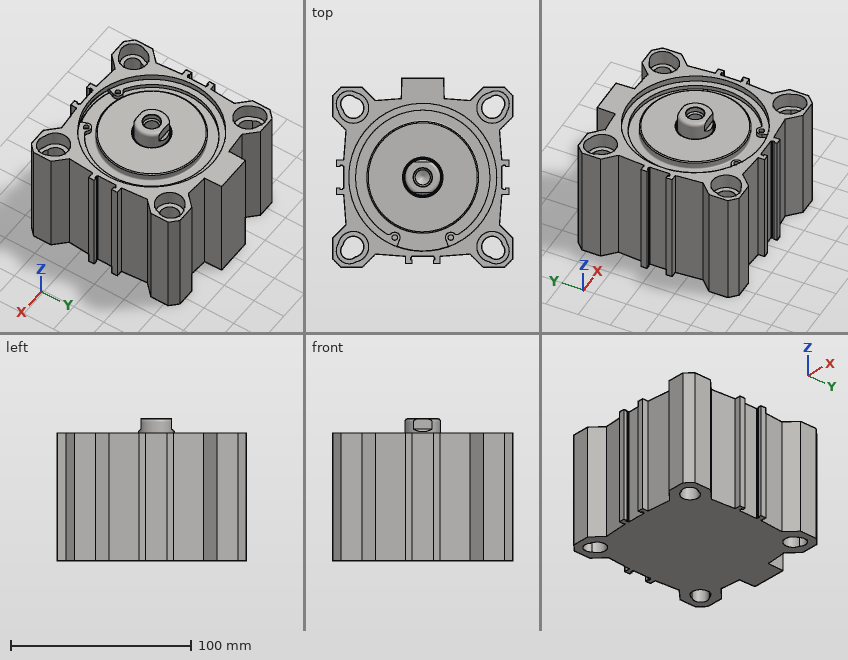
import cadquery as cq
import math

body_height = 71.0
rod_protrusion = 8.0
half_width = 50.0

lug_chamfer = 4.7
lug_face_start = 33.6
flank_root_along = 26.2
side_at_root = 42.6
side_at_middle = 43.9
side_flat_half = 9.7

rail_outer = 47.9
rail_width = 3.8
rail_lip_thickness = 2.1
rail_notch_length = 1.2
rail_notch_setback = 0.7
rail_base_setback = 0.3

port_face = 55.0
port_half_width = 11.7
port_root_half_width = 12.0
port_root = 43.7

bolt_offset = 38.48
bolt_diameter = 11.4
bolt_counterbore_diameter = 17.0
relief_offset = 40.7
relief_diameter = 9.5
relief_counterbore_diameter = 14.5
counterbore_depth = 9.1

recess_diameter = 82.1
recess_depth = 31.5
ring_diameter = 85.6
ring_inner_diameter = 74.5
ring_thickness = 2.5
ring_top_depth = 3.7
ear_hole_diameter = 3.0
ear_radius = 2.9
ear_x = 15.5
ear_y = -33.4
ear_root_fillet = 2.1

cover_diameter = 81.7
boss_diameter = 62.0
boss_top_depth = 1.3
boss_chamfer_width = 0.7
boss_chamfer_height = 0.5
boss_root_fillet = 0.79
cover_bore_diameter = 20.6
cover_mouth_diameter = 21.6
cover_mouth_depth = 1.0
cover_mouth_chamfer = 0.4

rod_diameter = 20.0
rod_fillet = 1.9
rod_flats = 17.0
rod_flat_bottom = 2.2
rod_thread_diameter = 10.3
rod_thread_depth = 3.2
rod_thread_chamfer = 0.2
rod_shoulder_height = 0.9
rod_core_diameter = 8.4
rod_core_depth = 15.8
drill_point_angle = 118.0

recess_floor = body_height - recess_depth
ring_top = body_height - ring_top_depth
ring_bottom = ring_top - ring_thickness
boss_top = body_height - boss_top_depth
rod_top = body_height + rod_protrusion


def cylinder(diameter, bottom, top):
    """Cylinder on the Z axis between two heights."""
    return cq.Workplane("XY").workplane(offset=bottom).circle(diameter / 2).extrude(top - bottom)


def side_outline():
    """Points of the -Y side, from one lug bevel to the other, listed counter-clockwise."""
    half = [
        (half_width - lug_chamfer, -half_width),
        (lug_face_start, -half_width),
        (flank_root_along, -side_at_root),
        (side_flat_half, -side_at_middle),
    ]
    return [(-x, y) for x, y in half] + half[::-1]


def turned(points, angle):
    """The points turned about Z by an angle in degrees."""
    c = math.cos(math.radians(angle))
    s = math.sin(math.radians(angle))
    return [(c * x - s * y, s * x + c * y) for x, y in points]


def rail_pair():
    """The two hooked rails on the -Y side, their lips facing each other."""
    outer = side_flat_half
    lip = outer - rail_width
    base = lip + rail_base_setback
    notch = lip + rail_notch_setback
    lip_back = rail_outer - rail_lip_thickness
    base_top = lip_back - rail_notch_length
    rail = (
        cq.Workplane("XY")
        .polyline([
            (outer, -side_at_root),
            (base, -side_at_root),
            (base, -base_top),
            (notch, -base_top),
            (notch, -lip_back),
            (lip, -lip_back),
            (lip, -rail_outer),
            (outer, -rail_outer),
        ])
        .close()
        .extrude(body_height)
    )
    return rail.union(rail.mirror("YZ"))


def port_block():
    """The full-height block on the +Y side, narrowing slightly outwards."""
    return (
        cq.Workplane("XY")
        .polyline([
            (-port_root_half_width, port_root),
            (port_root_half_width, port_root),
            (port_half_width, port_face),
            (-port_half_width, port_face),
        ])
        .close()
        .extrude(body_height)
    )


def bolt_hole(x_sign, y_sign):
    """A counterbored through hole with an overlapping relief towards the lug's corner."""
    counterbore_floor = body_height - counterbore_depth
    bolt_at = (x_sign * bolt_offset, y_sign * bolt_offset, 0)
    relief_at = (x_sign * relief_offset, y_sign * relief_offset, 0)
    bolt = cylinder(bolt_diameter, 0, body_height).union(
        cylinder(bolt_counterbore_diameter, counterbore_floor, body_height)
    )
    relief = cylinder(relief_diameter, 0, body_height).union(
        cylinder(relief_counterbore_diameter, counterbore_floor, body_height)
    )
    return bolt.translate(bolt_at).union(relief.translate(relief_at))


def make_housing():
    """Square body with corner lugs, sensor rails, a port block and the recess for the cover."""
    outline = []
    for angle in (0, 90, 180, 270):
        outline += turned(side_outline(), angle)
    housing = cq.Workplane("XY").polyline(outline).close().extrude(body_height)
    for angle in (-90, 0, 90):
        housing = housing.union(rail_pair().rotate((0, 0, 0), (0, 0, 1), angle))
    housing = housing.union(port_block())
    for x_sign in (-1, 1):
        for y_sign in (-1, 1):
            housing = housing.cut(bolt_hole(x_sign, y_sign))
    housing = housing.cut(cylinder(recess_diameter, recess_floor, body_height))
    return housing.cut(cylinder(ring_diameter, ring_bottom, ring_top))


def make_cover():
    """Flange under the retaining ring, with a raised boss around the rod."""
    flange = cylinder(cover_diameter, recess_floor, ring_bottom)
    boss = cylinder(boss_diameter, ring_bottom, boss_top)
    boss = boss.faces(">Z").chamfer(boss_chamfer_height, boss_chamfer_width)
    boss_root = cq.selectors.BoxSelector(
        (-boss_diameter, -boss_diameter, ring_bottom - boss_chamfer_height),
        (boss_diameter, boss_diameter, ring_bottom + boss_chamfer_height),
    )
    cover = flange.union(boss)
    cover = cover.edges(boss_root).edges(cq.selectors.RadiusNthSelector(0)).fillet(boss_root_fillet)
    cover = cover.cut(cylinder(cover_bore_diameter, recess_floor, boss_top))
    cover = cover.cut(cylinder(cover_mouth_diameter, boss_top - cover_mouth_depth, boss_top))
    return cover.faces(">Z").edges(cq.selectors.RadiusNthSelector(0)).chamfer(cover_mouth_chamfer)


def make_ring():
    """Internal retaining ring, open towards -Y, with a drilled ear at each end."""
    ear_distance = math.hypot(ear_x, ear_y)
    ear_angle = math.atan2(ear_x, -ear_y)
    gap_half_angle = ear_angle - math.asin(ear_radius / ear_distance)
    reach = ring_diameter
    gap_x = reach * math.tan(gap_half_angle)
    ring = cylinder(ring_diameter, ring_bottom, ring_top)
    ring = ring.cut(cylinder(ring_inner_diameter, ring_bottom, ring_top))
    gap = (
        cq.Workplane("XY")
        .workplane(offset=ring_bottom)
        .polyline([(0, 0), (-gap_x, -reach), (gap_x, -reach)])
        .close()
        .extrude(ring_thickness)
    )
    ring = ring.cut(gap)
    inner_radius = ring_inner_diameter / 2
    ear_to_root = math.acos(
        (inner_radius**2 + ear_distance**2 - ear_radius**2) / (2 * inner_radius * ear_distance)
    )
    ear_root_angle = ear_angle + ear_to_root
    root_x = inner_radius * math.sin(ear_root_angle)
    root_y = -inner_radius * math.cos(ear_root_angle)
    for side in (-1, 1):
        ear = cylinder(2 * ear_radius, ring_bottom, ring_top).translate((side * ear_x, ear_y, 0))
        hole = cylinder(ear_hole_diameter, ring_bottom, ring_top).translate((side * ear_x, ear_y, 0))
        root_point = (side * root_x, root_y, ring_bottom + ring_thickness / 2)
        ring = ring.union(ear)
        ring = ring.edges("|Z").edges(cq.selectors.NearestToPointSelector(root_point)).fillet(ear_root_fillet)
        ring = ring.cut(hole)
    return ring


def make_rod():
    """Rod with two wrench flats that run out at 45 degrees, and a threaded hole in its end."""
    rod = cylinder(rod_diameter, recess_floor, rod_top).faces(">Z").fillet(rod_fillet)
    flat_bottom = body_height + rod_flat_bottom
    reach = rod_diameter
    flat_cut = (
        cq.Workplane("YZ")
        .polyline([
            (rod_flats / 2, rod_top),
            (rod_flats / 2, flat_bottom),
            (rod_flats / 2 + reach, flat_bottom - reach),
            (rod_flats / 2 + reach, rod_top),
        ])
        .close()
        .extrude(rod_diameter, both=True)
    )
    rod = rod.cut(flat_cut).cut(flat_cut.mirror("XZ"))
    return rod.cut(threaded_hole())


def threaded_hole():
    """The stepped hole in the rod's end, as a turned solid."""
    thread_radius = rod_thread_diameter / 2
    core_radius = rod_core_diameter / 2
    thread_floor = rod_top - rod_thread_depth
    core_floor = rod_top - rod_core_depth
    point_depth = core_radius / math.tan(math.radians(drill_point_angle / 2))
    return (
        cq.Workplane("XZ")
        .polyline([
            (0, rod_top),
            (thread_radius + rod_thread_chamfer, rod_top),
            (thread_radius, rod_top - rod_thread_chamfer),
            (thread_radius, thread_floor),
            (core_radius, thread_floor - rod_shoulder_height),
            (core_radius, core_floor),
            (0, core_floor - point_depth),
        ])
        .close()
        .revolve(360, (0, 0, 0), (0, 1, 0))
    )


housing = make_housing()
cover = make_cover()
ring = make_ring()
rod = make_rod()
result = cq.Compound.makeCompound([housing.val(), cover.val(), ring.val(), rod.val()])